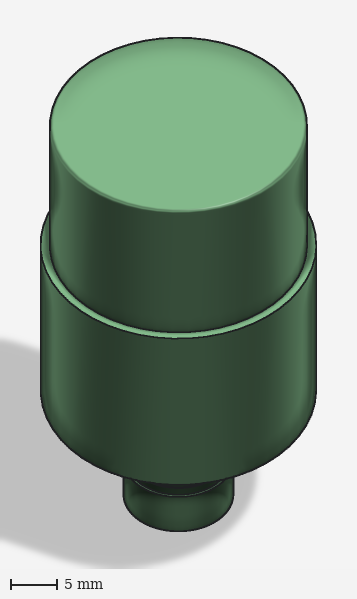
import cadquery as cq

total_height = 55.0

connector_diameter = 12.0
collar_diameter = 11.3
stem_diameter = 11.0
body_diameter = 30.0
cap_diameter = 28.0

connector_top = 5.1
collar_top = 6.1
body_bottom = 15.0
body_top = 37.0

body_fillet = 0.5
cap_fillet = 0.5


def cylinder(diameter, bottom, top):
    """Upright cylinder on the Z axis between two heights."""
    return cq.Workplane("XY").workplane(offset=bottom).circle(diameter / 2).extrude(top - bottom)


connector = cylinder(connector_diameter, 0, connector_top)
collar = cylinder(collar_diameter, connector_top, collar_top)
stem = cylinder(stem_diameter, collar_top, body_bottom)

body = cylinder(body_diameter, body_bottom, body_top).faces("<Z").fillet(body_fillet)
cap = cylinder(cap_diameter, body_top, total_height).faces(">Z").fillet(cap_fillet)

result = connector.union(collar).union(stem).union(body).union(cap)